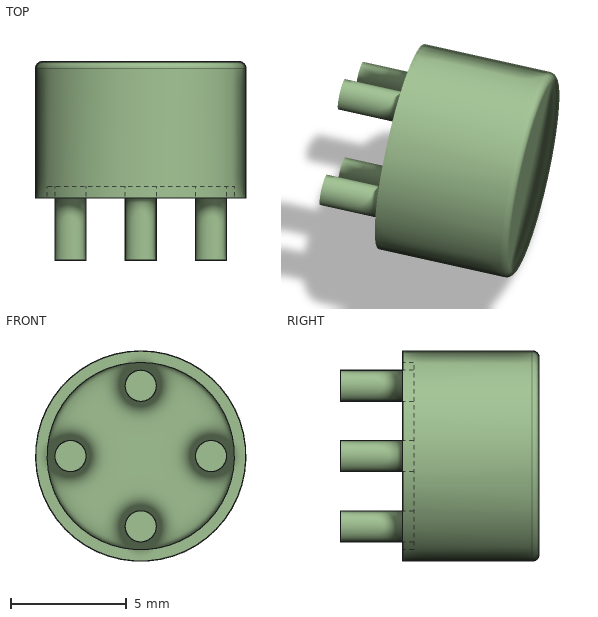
import cadquery as cq

can_diameter = 9.1
can_length = 5.91
end_radius = 0.3

recess_diameter = 8.1
recess_depth = 0.5

pin_count = 4
pin_diameter = 1.35
pin_circle_radius = 3.04
pin_reach = 2.69


def cylinder_along_y(diameter, start, length):
    """Solid cylinder on the Y axis, growing toward +Y from Y = start."""
    axis_start = cq.Vector(0, start, 0)
    return cq.Workplane(cq.Solid.makeCylinder(diameter / 2, length, axis_start, cq.Vector(0, 1, 0)))


def make_can():
    """Can with its rim at Y = 0, a rounded far end and a recessed base."""
    can = cylinder_along_y(can_diameter, 0, can_length).faces(">Y").edges().fillet(end_radius)
    return can.cut(cylinder_along_y(recess_diameter, 0, recess_depth))


def make_pin(index):
    """One pin, from its free end to the recess floor."""
    pin = cylinder_along_y(pin_diameter, -pin_reach, pin_reach + recess_depth)
    pin = pin.translate((pin_circle_radius, 0, 0))
    return pin.rotate((0, 0, 0), (0, 1, 0), index * 360 / pin_count)


result = make_can()
for pin_index in range(pin_count):
    result = result.union(make_pin(pin_index))